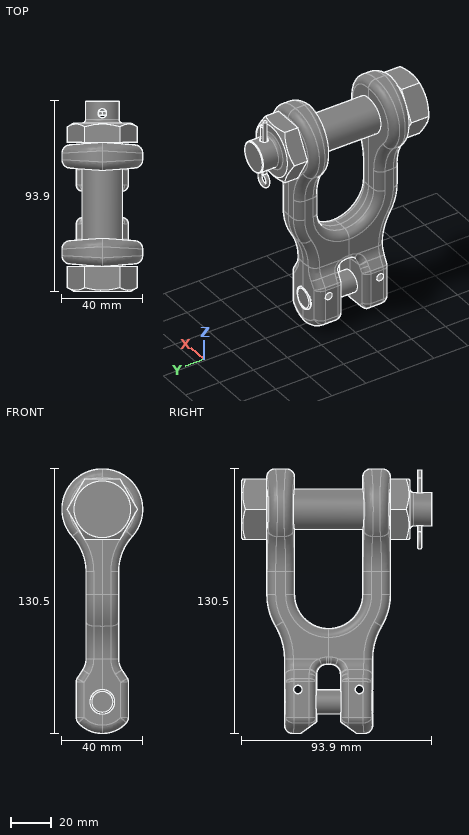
import cadquery as cq
import math


arm_outer_y = 30.5
bow_radius = 16.7
bow_center_z = -42.0
foot_outer_y = 21.8
waist_radius = 31.3
slot_half_width = 5.7
slot_top_z = -76.5
slot_corner_radius = 4.7
leg_bevel_start_z = -104.7
leg_bevel_slope = 0.73
draft_angle = 4.0

ear_radius = 20.0
arm_half_width = 8.1
ear_blend_radius = 25.7
foot_half_width = 12.9
foot_shoulder_z = -84.0
foot_flare_angle = 33.0
foot_shoulder_radius = 2.6
foot_corner_z = -104.0
yoke_bottom_z = -110.5

edge_radius = 4.2
slot_edge_radius = 3.3
sharp_edge_angle = 30.0

shank_diameter = 20.1
hex_across_flats = 30.0
hex_chamfer_radius = 14.0
hex_chamfer_angle = 30.0
head_height = 12.4
nut_height = 9.7
bolt_tip_y = 51.0
bolt_tip_diameter = 16.7
bolt_tip_chamfer = 0.4
bolt_tip_fillet = 1.6
cotter_y = 44.9
cotter_hole_diameter = 4.3

cotter_wire_diameter = 2.1
prong_offset = 0.98
long_prong_top_z = 19.5
short_prong_top_z = 15.5
cotter_eye_outer_radius = 4.6
cotter_bottom_z = -19.7

clevis_pin_diameter = 12.1
clevis_pin_z = -94.9
clevis_pin_chamfer = 0.9
lock_hole_diameter = 4.0
lock_hole_y = 15.1

MARGIN = 3.9


def polar(center, radius, angle):
    """Point on a circle, with the angle in degrees."""
    turn = math.radians(angle)
    return (center[0] + radius * math.cos(turn), center[1] + radius * math.sin(turn))


waist_turn = math.degrees(math.acos((foot_outer_y + waist_radius) / (arm_outer_y + waist_radius)))
foot_top_z = bow_center_z - (foot_outer_y + waist_radius) * math.tan(math.radians(waist_turn))


def other_side(point):
    """The point mirrored in the vertical axis of an outline."""
    return (-point[0], point[1])


def side_outline(x):
    """Closed Y-Z outline of the yoke at a distance x from its mid plane, overlong at its ends."""
    inset = x * math.tan(math.radians(draft_angle))
    ear_top = ear_radius + MARGIN
    leg_end = yoke_bottom_z - MARGIN

    bow = (0, bow_center_z)
    outer_y = arm_outer_y - inset
    inner_y = bow_radius + inset
    waist_center_y = foot_outer_y + waist_radius
    waist = (waist_center_y, foot_top_z)
    turn = waist_turn
    bow_middle = polar(bow, outer_y, -turn / 2)
    bow_end = polar(bow, outer_y, -turn)
    waist_middle = polar(waist, waist_radius + inset, 180 - turn / 2)
    foot_y = foot_outer_y - inset

    slot_y = slot_half_width + inset
    slot_corner = (slot_half_width - slot_corner_radius, slot_top_z - slot_corner_radius)
    slot_middle = polar(slot_corner, slot_corner_radius + inset, 45)
    slot_crown = (slot_corner[0], slot_top_z + inset)

    return (
        cq.Workplane("YZ", origin=(x, 0, 0))
        .moveTo(outer_y, ear_top)
        .lineTo(outer_y, bow_center_z)
        .threePointArc(bow_middle, bow_end)
        .threePointArc(waist_middle, (foot_y, waist[1]))
        .lineTo(foot_y, leg_end)
        .lineTo(slot_y, leg_end)
        .lineTo(slot_y, slot_corner[1])
        .threePointArc(slot_middle, slot_crown)
        .lineTo(*other_side(slot_crown))
        .threePointArc(other_side(slot_middle), (-slot_y, slot_corner[1]))
        .lineTo(-slot_y, leg_end)
        .lineTo(-foot_y, leg_end)
        .lineTo(-foot_y, waist[1])
        .threePointArc(other_side(waist_middle), other_side(bow_end))
        .threePointArc(other_side(bow_middle), (-outer_y, bow_center_z))
        .lineTo(-outer_y, ear_top)
        .lineTo(-inner_y, ear_top)
        .lineTo(-inner_y, bow_center_z)
        .threePointArc(polar(bow, inner_y, -90), (inner_y, bow_center_z))
        .lineTo(inner_y, ear_top)
        .close()
    )


def front_blank():
    """X-Z outline of the yoke, extruded along Y."""
    blend_center_x = arm_half_width + ear_blend_radius
    blend_reach = ear_radius + ear_blend_radius
    tilt = math.degrees(math.acos(blend_center_x / blend_reach))
    blend = (blend_center_x, -blend_reach * math.sin(math.radians(tilt)))
    ear_end = polar((0, 0), ear_radius, -tilt)
    blend_middle = polar(blend, ear_blend_radius, 180 - tilt / 2)

    flare = math.radians(foot_flare_angle)
    flare_height = (foot_half_width - arm_half_width) / math.tan(flare)
    flare_z = foot_shoulder_z + flare_height
    flare_tangent = foot_top_z - flare_z
    flare_radius = flare_tangent / math.tan(flare / 2)
    flare_center = (arm_half_width + flare_radius, foot_top_z)
    flare_middle = polar(flare_center, flare_radius, 180 + foot_flare_angle / 2)
    flare_end = polar(flare_center, flare_radius, 180 + foot_flare_angle)

    shoulder_center = (
        foot_half_width - foot_shoulder_radius,
        foot_shoulder_z - foot_shoulder_radius * math.tan(flare / 2),
    )
    shoulder_start = polar(shoulder_center, foot_shoulder_radius, foot_flare_angle)
    shoulder_middle = polar(shoulder_center, foot_shoulder_radius, foot_flare_angle / 2)

    width = 2 * (arm_outer_y + MARGIN)
    return (
        cq.Workplane("XZ", origin=(0, width / 2, 0))
        .moveTo(*other_side(ear_end))
        .threePointArc((0, ear_radius), ear_end)
        .threePointArc(blend_middle, (arm_half_width, blend[1]))
        .lineTo(arm_half_width, foot_top_z)
        .threePointArc(flare_middle, flare_end)
        .lineTo(*shoulder_start)
        .threePointArc(shoulder_middle, (foot_half_width, shoulder_center[1]))
        .lineTo(foot_half_width, foot_corner_z)
        .threePointArc((0, yoke_bottom_z), (-foot_half_width, foot_corner_z))
        .lineTo(-foot_half_width, shoulder_center[1])
        .threePointArc(other_side(shoulder_middle), other_side(shoulder_start))
        .lineTo(*other_side(flare_end))
        .threePointArc(other_side(flare_middle), (-arm_half_width, foot_top_z))
        .lineTo(-arm_half_width, blend[1])
        .threePointArc(other_side(blend_middle), other_side(ear_end))
        .close()
        .extrude(width)
    )


def yoke_quarter_blank():
    """The quarter of the yoke at positive X and Y, with sharp edges."""
    outlines = [side_outline(x).wires().val() for x in (0, ear_radius)]
    half = cq.Workplane(cq.Solid.makeLoft(outlines, True))
    reach = 2 * (arm_outer_y - yoke_bottom_z)
    corner = cq.Workplane("XY").box(reach, reach, 2 * reach, centered=(False, False, True))
    return half.intersect(front_blank()).intersect(corner).val()


def is_sharp(solid, edge):
    """True for an edge off the symmetry planes where two faces clearly turn."""
    point = edge.positionAt(0.5)
    if min(point.x, point.y) < 0.001:
        return False
    first, second = [face for face in solid.Faces() if any(e.isSame(edge) for e in face.Edges())]
    turn = first.normalAt(point).getAngle(second.normalAt(point))
    return math.degrees(turn) > sharp_edge_angle


def is_on_slot(edge):
    """True for an edge round the slot between the legs."""
    point = edge.positionAt(0.5)
    return point.z < slot_top_z + MARGIN and point.y < slot_half_width + MARGIN


def round_edges(quarter):
    """Round the rim of the bow, ears and legs, then the rim of the slot."""
    rim = [edge for edge in quarter.Edges() if is_sharp(quarter, edge) and not is_on_slot(edge)]
    rounded = quarter.fillet(edge_radius, rim)
    slot_rim = [edge for edge in rounded.Edges() if is_sharp(rounded, edge) and is_on_slot(edge)]
    return rounded.fillet(slot_edge_radius, slot_rim)


def leg_bevel():
    """Wedge removed from the inner underside of a leg."""
    low_z = yoke_bottom_z - MARGIN
    run = (leg_bevel_start_z - low_z) / leg_bevel_slope
    return (
        cq.Workplane("YZ")
        .moveTo(slot_half_width, leg_bevel_start_z)
        .lineTo(slot_half_width + run, low_z)
        .lineTo(0, low_z)
        .lineTo(0, leg_bevel_start_z)
        .close()
        .extrude(foot_half_width + MARGIN)
    )


def cylinder_along_y(diameter, z, length):
    """Cylinder parallel to Y, centred on Y = 0."""
    return cq.Workplane("XZ", origin=(0, length / 2, z)).circle(diameter / 2).extrude(length)


def lock_holes():
    """Cross holes along X through both legs, biting into the top of the clevis pin."""
    pin_top_z = clevis_pin_z + clevis_pin_diameter / 2
    length = 2 * (foot_half_width + MARGIN)
    return (
        cq.Workplane("YZ", origin=(-length / 2, 0, pin_top_z))
        .pushPoints([(-lock_hole_y, 0), (lock_hole_y, 0)])
        .circle(lock_hole_diameter / 2)
        .extrude(length)
    )


def make_yoke():
    """One finished quarter, mirrored in X = 0 and Y = 0."""
    length = 2 * (arm_outer_y + MARGIN)
    quarter = (
        cq.Workplane(round_edges(yoke_quarter_blank()))
        .cut(leg_bevel())
        .cut(cylinder_along_y(shank_diameter, 0, length))
        .cut(cylinder_along_y(clevis_pin_diameter, clevis_pin_z, length))
        .cut(lock_holes())
    )
    half = quarter.union(quarter.mirror("YZ"))
    return half.union(half.mirror("XZ"))


def hexagon(height):
    """Hexagon standing on Y = 0 with two flats level, chamfered on its far end."""
    corner_diameter = hex_across_flats / math.cos(math.radians(30))
    prism = cq.Workplane("XZ").polygon(6, corner_diameter).extrude(-height)
    wide = corner_diameter / 2 + MARGIN
    drop = (wide - hex_chamfer_radius) * math.tan(math.radians(hex_chamfer_angle))
    envelope = (
        cq.Workplane("XY")
        .lineTo(wide, 0)
        .lineTo(wide, height - drop)
        .lineTo(hex_chamfer_radius, height)
        .lineTo(0, height)
        .close()
        .revolve(360, (0, 0, 0), (0, 1, 0))
    )
    return prism.intersect(envelope)


def make_bolt():
    """Bolt with its head at negative Y, and its nut and cotter hole at positive Y."""
    shank = cylinder_along_y(shank_diameter, 0, 2 * arm_outer_y)
    head = hexagon(head_height).mirror("XZ").translate((0, -arm_outer_y, 0))
    nut = hexagon(nut_height).translate((0, arm_outer_y, 0))

    nut_face_y = arm_outer_y + nut_height
    tip_radius = bolt_tip_diameter / 2
    fillet_center = (tip_radius + bolt_tip_fillet, nut_face_y + bolt_tip_fillet)
    tip = (
        cq.Workplane("XY")
        .moveTo(0, arm_outer_y)
        .lineTo(fillet_center[0], arm_outer_y)
        .lineTo(fillet_center[0], nut_face_y)
        .threePointArc(polar(fillet_center, bolt_tip_fillet, 225), (tip_radius, fillet_center[1]))
        .lineTo(tip_radius, bolt_tip_y - bolt_tip_chamfer)
        .lineTo(tip_radius - bolt_tip_chamfer, bolt_tip_y)
        .lineTo(0, bolt_tip_y)
        .close()
        .revolve(360, (0, 0, 0), (0, 1, 0))
    )
    cotter_hole = (
        cq.Workplane("XY", origin=(0, cotter_y, 0))
        .circle(cotter_hole_diameter / 2)
        .extrude(bolt_tip_diameter / 2 + MARGIN, both=True)
    )
    return shank.union(head).union(nut).union(tip).cut(cotter_hole)


def make_cotter_pin():
    """Two prongs side by side, joined by a ring-shaped eye underneath."""
    wire_radius = cotter_wire_diameter / 2
    ring_radius = cotter_eye_outer_radius - wire_radius
    eye_z = cotter_bottom_z + cotter_eye_outer_radius
    pin = cq.Workplane(
        cq.Solid.makeTorus(ring_radius, wire_radius, cq.Vector(0, cotter_y, eye_z), cq.Vector(0, 1, 0))
    )
    prong_bottom_z = eye_z + math.sqrt(ring_radius**2 - prong_offset**2)
    for x, top_z in ((-prong_offset, long_prong_top_z), (prong_offset, short_prong_top_z)):
        prong = (
            cq.Workplane("XY", origin=(x, cotter_y, prong_bottom_z))
            .circle(wire_radius)
            .extrude(top_z - prong_bottom_z)
        )
        pin = pin.union(prong)
    return pin


def make_clevis_pin():
    """Pin across the foot, flush with its outer faces and notched by the lock holes."""
    pin = cylinder_along_y(clevis_pin_diameter, clevis_pin_z, 2 * foot_outer_y)
    return pin.edges("%CIRCLE").chamfer(clevis_pin_chamfer).cut(lock_holes())


yoke = make_yoke()
bolt = make_bolt()
cotter_pin = make_cotter_pin()
clevis_pin = make_clevis_pin()

result = cq.Compound.makeCompound([yoke.val(), bolt.val(), cotter_pin.val(), clevis_pin.val()])